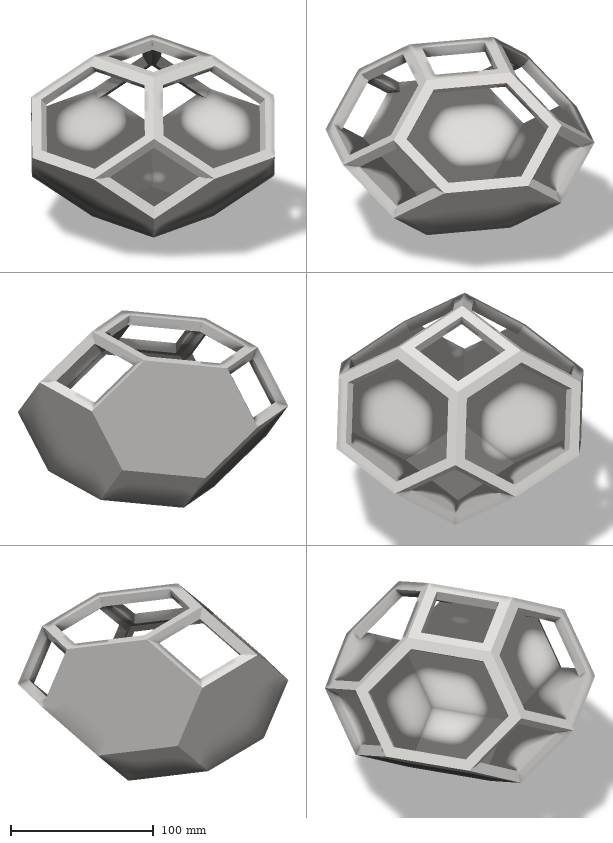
import cadquery as cq
import math

overall_width = 180.0
square_edge = overall_width / 3
half_edge = square_edge / 2
half_height = square_edge
square_window = 45.0
frame_width = (square_edge - square_window) / 2
panel_thickness = frame_width

hexagon_half_width = square_edge
hexagon_half_slope = half_height / 2 * math.sqrt(2)
hexagon_points = [
    (hexagon_half_width, 0),
    (half_edge, hexagon_half_slope),
    (-half_edge, hexagon_half_slope),
    (-hexagon_half_width, 0),
    (-half_edge, -hexagon_half_slope),
    (half_edge, -hexagon_half_slope),
]


def panel(plane, outline, windowed):
    """Extrude a panel along the plane normal, optionally leaving only its frame."""
    plate = cq.Workplane(plane).polyline(outline).close().extrude(panel_thickness)
    if not windowed:
        return plate
    window = (
        cq.Workplane(plane).polyline(outline).close()
        .offset2D(-frame_width).extrude(panel_thickness)
    )
    return plate.cut(window)


def hexagon_panel(side, windowed):
    """Panel on the -Y side; side is +1 for the upper half and -1 for the lower."""
    center = (0, -(overall_width / 2 - half_height / 2), side * half_height / 2)
    inward = (0, 1, -side)
    return panel(cq.Plane(origin=center, xDir=(1, 0, 0), normal=inward), hexagon_points, windowed)


def square_panel(side, windowed):
    """Horizontal square panel at the top (+1) or bottom (-1)."""
    outline = [
        (half_edge, half_edge),
        (-half_edge, half_edge),
        (-half_edge, -half_edge),
        (half_edge, -half_edge),
    ]
    center = (0, 0, side * half_height)
    return panel(cq.Plane(origin=center, xDir=(1, 0, 0), normal=(0, 0, -side)), outline, windowed)


result = square_panel(1, windowed=True).union(square_panel(-1, windowed=False))
for angle in (0, 90, 180, 270):
    for side in (1, -1):
        hexagon = hexagon_panel(side, windowed=side > 0)
        result = result.union(hexagon.rotate((0, 0, 0), (0, 0, 1), angle))